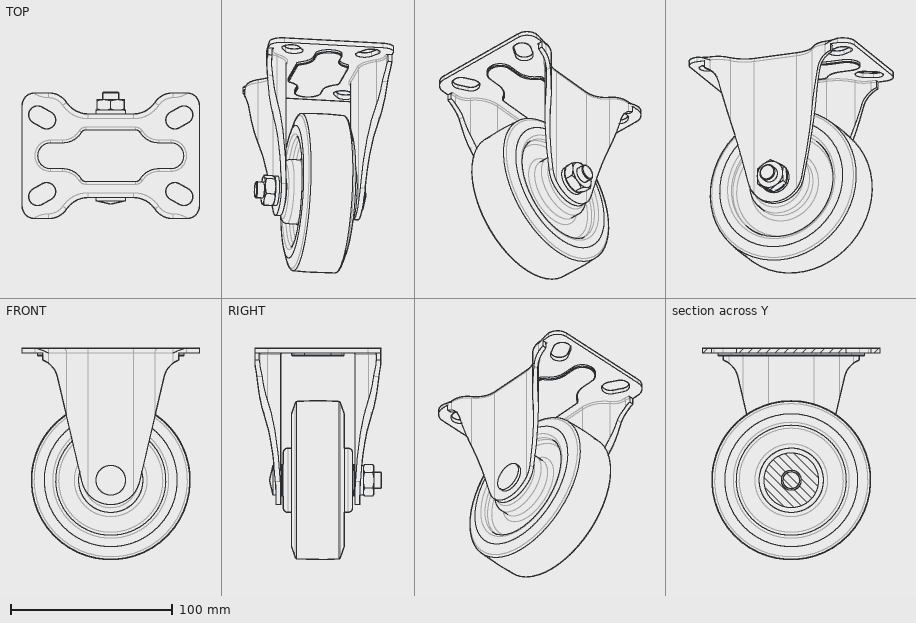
import cadquery as cq
import math


total_height = 131.2
axle_depth = 81.9
axle_z = -axle_depth
wheel_radius = total_height - axle_depth

sheet = 3.0
plate_length = 110.0
plate_width = 78.0
plate_corner_radius = 8.0
slot_radius = 5.5
slot_center_distance = 6.4
slot_x = 42.5
slot_y = 23.7
slot_angle = math.degrees(math.atan2(slot_y, slot_x))

panel_depth = 1.8
panel_edge_radius = 1.7
panel_flat_half_length = 15.5
panel_half_width = 16.0
panel_crest_run = 2.6
panel_neck_x = 29.8
panel_neck_half_width = 8.0
panel_end_center_x = 37.3
panel_wall = 0.3
panel_under_chamfer = 0.5

fork_gap = 45.9
leg_face_y = fork_gap / 2 + sheet
bend_radius = 3.0
bend_inner_radius = 0.9
leg_flat_half_width = 14.2
waist_bend_run = 13.1
shoulder_x = 38.6
shoulder_y = plate_width / 2
flare_end_x = plate_length / 2 - plate_corner_radius
flare_rise = bend_radius
leg_tip_radius = 18.4
leg_tip_depth = 97.0
leg_taper = math.radians(13.2)
leg_throat_depth = 17.7
leg_throat_radius = 14.5
leg_top_half_width = 42.2

tread_half_width = 13.1
tread_crown = 0.4
tread_side_radius = 47.5
tread_side_half_width = 14.2
tread_corner_radius = 2.1
rim_half_width = 16.4
rim_radius = 41.2
recess_radius = 34.1
recess_fillet = 1.8
recess_depth = 5.9
hub_radius = 20.0
hub_half_width = 21.5
hub_root_fillet = 2.6
hub_edge_fillet = 2.9
boss_radius = 9.8
boss_half_width = 22.3

axle_radius = 5.0
axle_end_y = 39.5
axle_end_chamfer = 0.5
sleeve_radius = 6.0
head_radius = 9.2
head_rim = 2.0
head_height = 4.1
washer_thickness = 2.2
nut_height = 6.5
nut_across_corners = 19.7
nut_chamfer_angle = math.radians(30)


def s_bend_radii(run, rise, first_run):
    """Two radii and the turning angle of tangent arcs that step from one X-parallel line to another."""
    angle = 2 * math.atan2(rise, run)
    first_radius = first_run / math.sin(angle)
    second_radius = (run - first_run) / math.sin(angle)
    return first_radius, second_radius, angle


def arc_point(center, radius, angle):
    return center[0] + radius * math.cos(angle), center[1] + radius * math.sin(angle)


def mirrored_solid(half):
    """Join a solid lying at positive X with its mirror image."""
    return half.union(half.mirror("YZ"))


def waist_half_outline(inset):
    """Plan of the bent sheet over X >= 0, moved inward by inset; the ends flare past the plate."""
    waist_bend, shoulder_bend, angle = s_bend_radii(
        shoulder_x - leg_flat_half_width, shoulder_y - leg_face_y, waist_bend_run
    )
    waist_bend += inset
    shoulder_bend -= inset
    waist_y = leg_face_y - inset
    top_y = shoulder_y - inset
    waist_center = (leg_flat_half_width, waist_y + waist_bend)
    shoulder_center = (shoulder_x, top_y - shoulder_bend)
    flare_radius = ((flare_end_x - shoulder_x) ** 2 + flare_rise**2) / (2 * flare_rise) + inset
    flare_center = (shoulder_x, top_y + flare_radius)
    flare_angle = math.asin((flare_end_x - shoulder_x) / (flare_radius - inset))
    down = -math.pi / 2
    up = math.pi / 2
    end = arc_point(flare_center, flare_radius, down + flare_angle)
    end_x = plate_length
    return (
        cq.Workplane("XY")
        .moveTo(0, 0)
        .lineTo(0, waist_y)
        .lineTo(leg_flat_half_width, waist_y)
        .threePointArc(
            arc_point(waist_center, waist_bend, down + angle / 2),
            arc_point(waist_center, waist_bend, down + angle),
        )
        .threePointArc(arc_point(shoulder_center, shoulder_bend, up + angle / 2), (shoulder_x, top_y))
        .threePointArc(arc_point(flare_center, flare_radius, down + flare_angle / 2), end)
        .lineTo(end_x, end[1] + (end_x - end[0]) * math.tan(flare_angle))
        .lineTo(end_x, 0)
        .close()
    )



def four_way(quarter):
    """Join a solid lying at positive X and Y with its mirror images."""
    half = quarter.union(quarter.mirror("XZ"))
    return half.union(half.mirror("YZ")).clean()


def channel(inset, edge_radius):
    """Deep block with the plan of the waist, its long top edges rounded."""
    block = four_way(waist_half_outline(inset).extrude(-total_height))
    return block.faces(">Z").edges("not |Y").fillet(edge_radius)


def front_profile():
    """Plate strip and tapered legs as seen along Y, extruded through the whole bracket."""
    tip_center = (0, leg_tip_radius - leg_tip_depth)
    tip_start = arc_point(tip_center, leg_tip_radius, -leg_taper)
    throat_x = tip_start[0] - (tip_start[1] + leg_throat_depth) * math.tan(leg_taper)
    throat_center = (
        throat_x + leg_throat_radius * math.cos(leg_taper),
        -leg_throat_depth - leg_throat_radius * math.sin(leg_taper),
    )
    throat_start_angle = math.pi - leg_taper
    throat_end_angle = math.acos((leg_top_half_width - throat_center[0]) / leg_throat_radius)
    leg = (
        cq.Workplane("XZ")
        .moveTo(0, 0)
        .lineTo(leg_top_half_width, 0)
        .lineTo(*arc_point(throat_center, leg_throat_radius, throat_end_angle))
        .threePointArc(
            arc_point(throat_center, leg_throat_radius, (throat_start_angle + throat_end_angle) / 2),
            (throat_x, -leg_throat_depth),
        )
        .lineTo(*tip_start)
        .threePointArc(
            arc_point(tip_center, leg_tip_radius, -(leg_taper + math.pi / 2) / 2), (0, -leg_tip_depth)
        )
        .close()
        .extrude(plate_width, both=True)
    )
    strip = cq.Workplane("XY").box(plate_length, plate_width, sheet).translate((0, 0, -sheet / 2))
    return mirrored_solid(leg).union(strip)


def plate_envelope():
    """Rounded rectangle that bounds the bracket in plan."""
    return (
        cq.Workplane("XY")
        .rect(plate_length, plate_width)
        .extrude(-total_height)
        .edges("|Z")
        .fillet(plate_corner_radius)
    )


def panel_quarter(grow, depth):
    """One quarter of the pressed panel, its outline moved outward by grow."""
    crest_bend, neck_bend, angle = s_bend_radii(
        panel_neck_x - panel_flat_half_length,
        panel_half_width - panel_neck_half_width,
        panel_crest_run,
    )
    crest_bend += grow
    neck_bend -= grow
    crest_y = panel_half_width + grow
    neck_y = panel_neck_half_width + grow
    crest_center = (panel_flat_half_length, crest_y - crest_bend)
    neck_center = (panel_neck_x, neck_y + neck_bend)
    end_center = (panel_end_center_x, 0)
    up = math.pi / 2
    return (
        cq.Workplane("XY")
        .moveTo(0, 0)
        .lineTo(0, crest_y)
        .lineTo(panel_flat_half_length, crest_y)
        .threePointArc(
            arc_point(crest_center, crest_bend, up - angle / 2),
            arc_point(crest_center, crest_bend, up - angle),
        )
        .threePointArc(arc_point(neck_center, neck_bend, -up - angle / 2), (panel_neck_x, neck_y))
        .lineTo(panel_end_center_x, neck_y)
        .threePointArc(arc_point(end_center, neck_y, up / 2), (panel_end_center_x + neck_y, 0))
        .close()
        .extrude(-depth)
    )


def press_panel(bracket):
    """Sink the panel into the plate and let it stand out underneath by the same depth."""
    underside = four_way(panel_quarter(panel_wall, sheet + panel_depth))
    underside = underside.faces("<Z").edges().chamfer(panel_under_chamfer)
    bracket = bracket.union(underside).cut(four_way(panel_quarter(0, panel_depth)))
    reach_x = panel_end_center_x + panel_half_width
    reach_y = panel_half_width + panel_wall
    rim = cq.selectors.BoxSelector((-reach_x, -reach_y, -sheet), (reach_x, reach_y, sheet))
    return bracket.faces(">Z").edges(rim).fillet(panel_edge_radius)


def mounting_slots():
    """Cutters for the four slots, each pointing at the middle of the plate."""
    slots = []
    for side_x in (-1, 1):
        for side_y in (-1, 1):
            slot = (
                cq.Workplane("XY")
                .slot2D(slot_center_distance + 2 * slot_radius, 2 * slot_radius)
                .extrude(-sheet)
                .rotate((0, 0, 0), (0, 0, 1), side_x * side_y * slot_angle)
            )
            slots.append(slot.translate((side_x * slot_x, side_y * slot_y, 0)))
    return slots


def axle_cylinder(radius, start_y, end_y):
    """Cylinder about the axle from start_y to end_y."""
    return (
        cq.Workplane("XZ", origin=(0, start_y, axle_z)).circle(radius).extrude(start_y - end_y)
    )


def make_bracket():
    bracket = channel(0, bend_radius).cut(
        channel(sheet, bend_inner_radius).translate((0, 0, -sheet))
    )
    bracket = bracket.intersect(front_profile()).intersect(plate_envelope())
    bracket = press_panel(bracket)
    for slot in mounting_slots():
        bracket = bracket.cut(slot)
    return bracket.cut(axle_cylinder(axle_radius, -plate_width, plate_width))


def turned(profile):
    """Revolve a (Y, radius) profile about the axle."""
    return profile.close().revolve(360, (0, 0, 0), (1, 0, 0))


def axle_plane():
    """Sketch plane whose first axis is Y and whose second axis is the distance above the axle."""
    return cq.Workplane("YZ", origin=(0, 0, axle_z))


def tread_blank():
    """Solid disc with a crowned tread, rounded corners and sloping flanks."""
    tread_edge_radius = wheel_radius - tread_crown
    return turned(
        axle_plane()
        .moveTo(-rim_half_width, 0)
        .lineTo(-rim_half_width, rim_radius)
        .lineTo(-tread_side_half_width, tread_side_radius)
        .radiusArc((-tread_half_width, tread_edge_radius), tread_corner_radius)
        .threePointArc((0, wheel_radius), (tread_half_width, tread_edge_radius))
        .radiusArc((tread_side_half_width, tread_side_radius), tread_corner_radius)
        .lineTo(rim_half_width, rim_radius)
        .lineTo(rim_half_width, 0)
    )


def web_recess():
    """Ring removed from the +Y flank between hub and rim, with its rim edge and web corners rounded."""
    web_y = rim_half_width - recess_depth
    return turned(
        axle_plane()
        .moveTo(rim_half_width, hub_radius)
        .lineTo(web_y + hub_root_fillet, hub_radius)
        .radiusArc((web_y, hub_radius + hub_root_fillet), hub_root_fillet)
        .lineTo(web_y, recess_radius - recess_fillet)
        .radiusArc((web_y + recess_fillet, recess_radius), recess_fillet)
        .lineTo(rim_half_width - recess_fillet, recess_radius)
        .radiusArc((rim_half_width, recess_radius + recess_fillet), -recess_fillet)
    )


def make_wheel():
    """One-piece wheel with a web recessed on both sides and a stepped hub, bored for the sleeve."""
    recess = web_recess()
    wheel = tread_blank().cut(recess).cut(recess.mirror("XZ"))
    hub = axle_cylinder(hub_radius, -hub_half_width, hub_half_width).edges().fillet(hub_edge_fillet)
    boss = axle_cylinder(boss_radius, -boss_half_width, boss_half_width)
    wheel = wheel.union(hub).union(boss).clean()
    return wheel.cut(axle_cylinder(sleeve_radius, -boss_half_width, boss_half_width))


def make_sleeve():
    """Spacer tube clamped between the fork legs, on which the wheel turns."""
    tube = axle_cylinder(sleeve_radius, -fork_gap / 2, fork_gap / 2)
    return tube.cut(axle_cylinder(axle_radius, -fork_gap / 2, fork_gap / 2))


def make_axle():
    """Bolt with a pointed round head on the -Y leg and a chamfered end beyond the nut."""
    head_rim_y = -leg_face_y - head_rim
    shank_end_radius = axle_radius - axle_end_chamfer
    return turned(
        axle_plane().polyline(
            [
                (-leg_face_y - head_height, 0),
                (head_rim_y, head_radius),
                (-leg_face_y, head_radius),
                (-leg_face_y, axle_radius),
                (axle_end_y - axle_end_chamfer, axle_radius),
                (axle_end_y, shank_end_radius),
                (axle_end_y, 0),
            ]
        )
    )


def make_washer():
    end_y = leg_face_y + washer_thickness
    ring = axle_cylinder(head_radius, leg_face_y, end_y)
    return ring.cut(axle_cylinder(axle_radius, leg_face_y, end_y))


def make_nut():
    """Hexagon nut with a corner up, its corners chamfered at both ends."""
    start_y = leg_face_y + washer_thickness
    end_y = start_y + nut_height
    corner_radius = nut_across_corners / 2
    flat_radius = corner_radius * math.cos(math.pi / 6)
    chamfer_height = (corner_radius - flat_radius) * math.tan(nut_chamfer_angle)
    hexagon = (
        cq.Workplane("XZ", origin=(0, start_y, axle_z))
        .polygon(6, nut_across_corners)
        .extrude(-nut_height)
        .rotate((0, 0, axle_z), (0, 1, axle_z), 30)
    )
    envelope = (
        axle_cylinder(corner_radius, start_y, end_y)
        .edges()
        .chamfer(chamfer_height, corner_radius - flat_radius)
    )
    return hexagon.intersect(envelope).cut(axle_cylinder(axle_radius, start_y, end_y))


bracket = make_bracket()
wheel = make_wheel()
sleeve = make_sleeve()
axle = make_axle()
washer = make_washer()
nut = make_nut()

result = cq.Compound.makeCompound(
    [bracket.val(), wheel.val(), sleeve.val(), axle.val(), washer.val(), nut.val()]
)